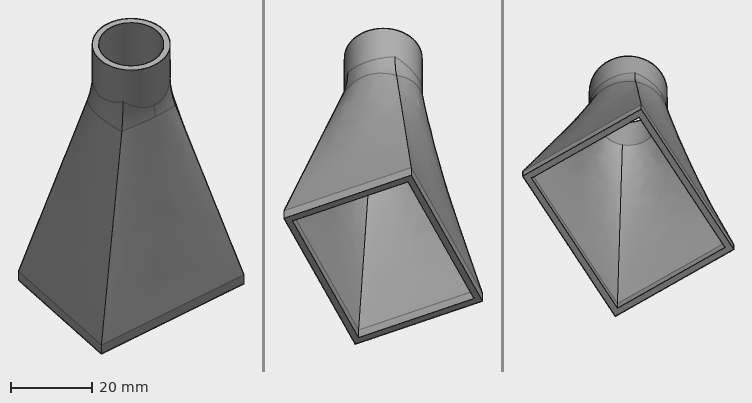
import cadquery as cq
import math

total_height = 78.0
base_x = 34.2
base_y = 43.7
base_height = 3.0
tube_diameter = 19.2
bore_diameter = 16.0
neck_height = 63.0
neck_blend_radius = 30.0
corner_angle = 48.2

wall = (tube_diameter - bore_diameter) / 2


def rectangle_wire(size_x, size_y, z):
    """Centred rectangle, running counter-clockwise from the -X -Y corner."""
    x, y = size_x / 2, size_y / 2
    corners = [(-x, -y, z), (x, -y, z), (x, y, z), (-x, y, z)]
    return cq.Wire.makePolygon([cq.Vector(*corner) for corner in corners], close=True)


def quartered_circle_wire(diameter, z):
    """Circle split into four arcs, one above each side of the base."""
    radius = diameter / 2
    diagonal = math.radians(corner_angle)
    first_split = math.pi + diagonal
    splits = [
        first_split,
        2 * math.pi - diagonal,
        2 * math.pi + diagonal,
        3 * math.pi - diagonal,
        first_split + 2 * math.pi,
    ]

    def point(angle):
        return cq.Vector(radius * math.cos(angle), radius * math.sin(angle), z)

    arcs = []
    for start, end in zip(splits, splits[1:]):
        arcs.append(cq.Edge.makeThreePointArc(point(start), point((start + end) / 2), point(end)))
    return cq.Wire.assembleEdges(arcs)


def funnel(size_x, size_y, diameter):
    """Rectangular base, tapering to a round neck and a straight tube."""
    base = cq.Workplane("XY").box(size_x, size_y, base_height, centered=(True, True, False))
    neck_circle = quartered_circle_wire(diameter, neck_height)
    taper = cq.Solid.makeLoft([rectangle_wire(size_x, size_y, base_height), neck_circle], True)
    tube = cq.Workplane("XY", origin=(0, 0, neck_height)).circle(diameter / 2)
    tube = tube.extrude(total_height - neck_height)
    return tube.union(cq.Workplane(taper)).union(base)


slice_half_height = 0.1
neck_slice = cq.selectors.BoxSelector(
    (-base_x, -base_y, neck_height - slice_half_height),
    (base_x, base_y, neck_height + slice_half_height),
)
body = funnel(base_x, base_y, tube_diameter).edges(neck_slice).fillet(neck_blend_radius)

passage = funnel(base_x - 2 * wall, base_y - 2 * wall, bore_diameter)

result = body.cut(passage)